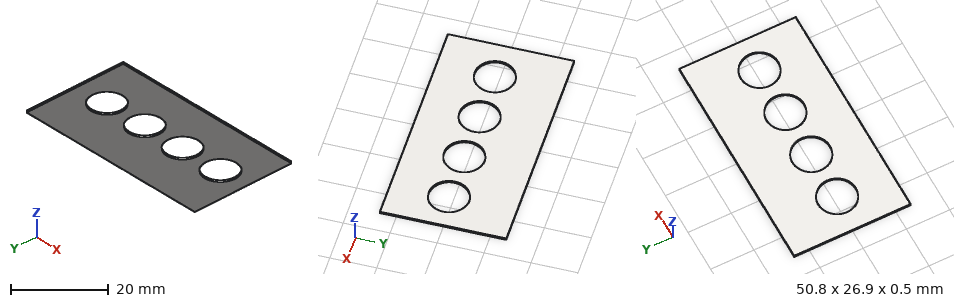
import cadquery as cq

length = 50.8
width = 26.9
thickness = 0.5

hole_count = 4
hole_diameter = 8.65
hole_pitch = 11.45
first_hole_from_left = 8.65
row_from_front = 12.5

plate = cq.Workplane("XY").box(length, width, thickness, centered=False)

hole_centers = [
    (first_hole_from_left + i * hole_pitch, row_from_front) for i in range(hole_count)
]
holes = (
    cq.Workplane("XY")
    .pushPoints(hole_centers)
    .circle(hole_diameter / 2)
    .extrude(thickness)
)

result = plate.cut(holes)